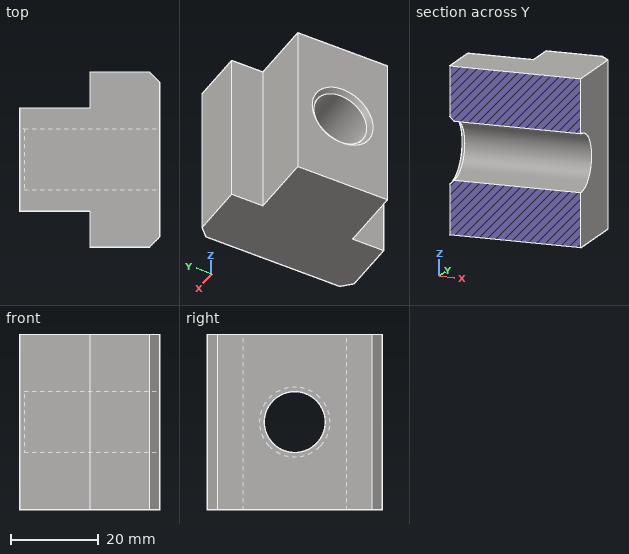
import cadquery as cq

length_x = 32.0
width_y = 40.0
height_z = 40.0

neck_length = 16.0
neck_width = 23.6
head_chamfer = 2.4

hole_diameter = 13.84
countersink_diameter = 16.0
countersink_depth = (countersink_diameter - hole_diameter) / 2

neck_face_x = -length_x / 2
shoulder_x = neck_face_x + neck_length
head_face_x = length_x / 2


def make_body():
    """T-shaped block: a narrow neck and a wide head with chamfered back edges."""
    neck = (
        cq.Workplane("XY")
        .box(neck_length, neck_width, height_z)
        .translate(((neck_face_x + shoulder_x) / 2, 0, 0))
    )
    head = (
        cq.Workplane("XY")
        .box(head_face_x - shoulder_x, width_y, height_z)
        .edges("|Z and >X")
        .chamfer(head_chamfer)
        .translate(((shoulder_x + head_face_x) / 2, 0, 0))
    )
    return neck.union(head)


def make_hole():
    """Through hole along X with a 45 degree countersink in the neck face."""
    bore_radius = hole_diameter / 2
    countersink_radius = countersink_diameter / 2
    return (
        cq.Workplane("XY")
        .moveTo(neck_face_x, 0)
        .lineTo(neck_face_x, countersink_radius)
        .lineTo(neck_face_x + countersink_depth, bore_radius)
        .lineTo(head_face_x, bore_radius)
        .lineTo(head_face_x, 0)
        .close()
        .revolve(360, (neck_face_x, 0, 0), (head_face_x, 0, 0))
    )


result = make_body().cut(make_hole())